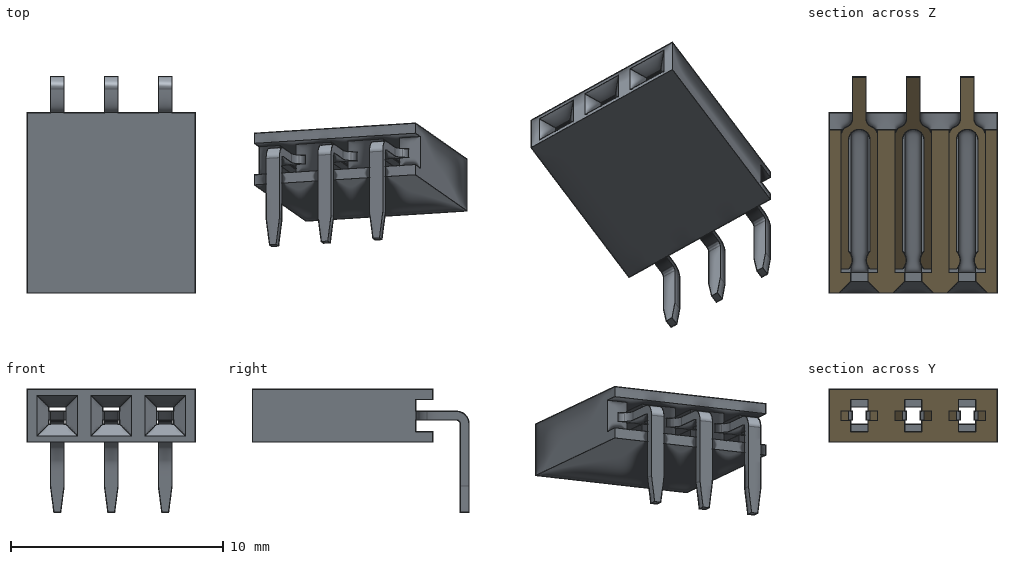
import cadquery as cq
import math


contact_count = 3
pitch = 2.54
end_allowance = 0.3
housing_width = contact_count * pitch + end_allowance
housing_length = 8.5
housing_height = 2.49
mid_height = housing_height / 2
rear_slot_depth = 0.8
rear_slot_wall = 0.49
rear_slot_height = housing_height - 2 * rear_slot_wall
cavity_end = housing_length - rear_slot_depth

funnel_size = 1.9
throat_size = 0.8
funnel_depth = (funnel_size - throat_size) / 2
throat_length = 0.43
cavity_start = funnel_depth + throat_length

sheet = 0.42
stem_width = 0.65
bend_outer_radius = 0.6
bend_inner_radius = bend_outer_radius - sheet
rear_overhang = 1.7
leg_back = housing_length + rear_overhang
leg_drop = 3.31
leg_bottom = -leg_drop
taper_length = 1.24
tip_width = stem_width / 2

shoulder_setback = 0.29
shoulder_start = housing_length - shoulder_setback
shoulder_radius = 0.4
shoulder_sweep = math.radians(70)
shoulder_x = stem_width / 2 + shoulder_radius * (1 - math.cos(shoulder_sweep))
shoulder_y = shoulder_start - shoulder_radius * math.sin(shoulder_sweep)
fork_half_width = 2 * shoulder_x - stem_width / 2
tine_back = 2 * shoulder_y - shoulder_start
gap_radius = 0.5
gap_root = cavity_end
gap_center = gap_root - gap_radius
tip_clearance = 0.15
tine_tip = cavity_start + tip_clearance
bump_length = 0.84
bump_half_gap = stem_width / 2

position_xs = [(i - (contact_count - 1) / 2) * pitch for i in range(contact_count)]


def block(width, y_start, y_end, height, x=0.0):
    """Box centred on x and on the housing mid-height, from y_start to y_end."""
    length = y_end - y_start
    return cq.Workplane("XY").box(width, length, height).translate((x, y_start + length / 2, mid_height))


def funnel(x):
    """Square pyramid frustum narrowing from the mating face to the throat."""
    return (
        cq.Workplane("XZ", origin=(x, 0, mid_height))
        .rect(funnel_size, funnel_size)
        .workplane(offset=-funnel_depth)
        .rect(throat_size, throat_size)
        .loft(ruled=True)
    )


def build_housing():
    body = block(housing_width, 0, housing_length, housing_height)
    body = body.cut(block(housing_width, cavity_end, housing_length, rear_slot_height))
    for x in position_xs:
        throat = block(throat_size, funnel_depth, cavity_start, throat_size, x)
        channel = block(throat_size, cavity_start, cavity_end, rear_slot_height, x)
        fork_slot = block(2 * fork_half_width, cavity_start, cavity_end, sheet, x)
        for void in (funnel(x), throat, channel, fork_slot):
            body = body.cut(void)
    return body


def shoulder_middles():
    """Mid-points of the concave and convex shoulder arcs on the +X side."""
    half_sweep = shoulder_sweep / 2
    rise = shoulder_radius * (1 - math.cos(half_sweep))
    run = shoulder_radius * math.sin(half_sweep)
    concave = (stem_width / 2 + rise, shoulder_start - run)
    convex = (fork_half_width - rise, tine_back + run)
    return concave, convex


def mirrored(point):
    return (-point[0], point[1])


def contact_plan():
    """Contact seen from above, as thick as the contact is tall."""
    concave, convex = shoulder_middles()
    inflection = (shoulder_x, shoulder_y)
    tine_outer = (fork_half_width, tine_back)
    tip_inner = (gap_radius, tine_tip)
    bump_peak = (bump_half_gap, tine_tip + bump_length / 2)
    bump_end = (gap_radius, tine_tip + bump_length)
    gap_corner = (gap_radius, gap_center)
    outline = (
        cq.Workplane("XY", origin=(0, 0, leg_bottom))
        .moveTo(stem_width / 2, leg_back)
        .lineTo(stem_width / 2, shoulder_start)
        .threePointArc(concave, inflection)
        .threePointArc(convex, tine_outer)
        .lineTo(fork_half_width, tine_tip)
        .lineTo(*tip_inner)
        .threePointArc(bump_peak, bump_end)
        .lineTo(*gap_corner)
        .threePointArc((0, gap_root), mirrored(gap_corner))
        .lineTo(*mirrored(bump_end))
        .threePointArc(mirrored(bump_peak), mirrored(tip_inner))
        .lineTo(-fork_half_width, tine_tip)
        .lineTo(-fork_half_width, tine_back)
        .threePointArc(mirrored(convex), mirrored(inflection))
        .threePointArc(mirrored(concave), (-stem_width / 2, shoulder_start))
        .lineTo(-stem_width / 2, leg_back)
        .close()
    )
    return outline.extrude(mid_height + sheet / 2 - leg_bottom)


def contact_side():
    """Bent sheet seen along X, as wide as the fork."""
    top = mid_height + sheet / 2
    bend_y = leg_back - bend_outer_radius
    bend_z = top - bend_outer_radius
    diagonal = math.sqrt(0.5)
    outer_middle = (bend_y + bend_outer_radius * diagonal, bend_z + bend_outer_radius * diagonal)
    inner_middle = (bend_y + bend_inner_radius * diagonal, bend_z + bend_inner_radius * diagonal)
    outline = (
        cq.Workplane("YZ")
        .moveTo(tine_tip, top)
        .lineTo(bend_y, top)
        .threePointArc(outer_middle, (leg_back, bend_z))
        .lineTo(leg_back, leg_bottom)
        .lineTo(leg_back - sheet, leg_bottom)
        .lineTo(leg_back - sheet, bend_z)
        .threePointArc(inner_middle, (bend_y, top - sheet))
        .lineTo(tine_tip, top - sheet)
        .close()
    )
    return outline.extrude(fork_half_width, both=True)


def tip_taper_cut():
    """Two wedges that narrow the lower end of the leg."""
    wedge = (
        cq.Workplane("XZ", origin=(0, leg_back, 0))
        .moveTo(stem_width / 2, leg_bottom + taper_length)
        .lineTo(tip_width / 2, leg_bottom)
        .lineTo(stem_width / 2, leg_bottom)
        .close()
        .extrude(sheet)
    )
    return wedge.union(wedge.mirror("YZ"))


def build_contact(x):
    body = contact_plan().intersect(contact_side()).cut(tip_taper_cut())
    return body.translate((x, 0, 0))


housing = build_housing()
contacts = [build_contact(x) for x in position_xs]

result = cq.Compound.makeCompound([housing.solids().val(), *[contact.solids().val() for contact in contacts]])